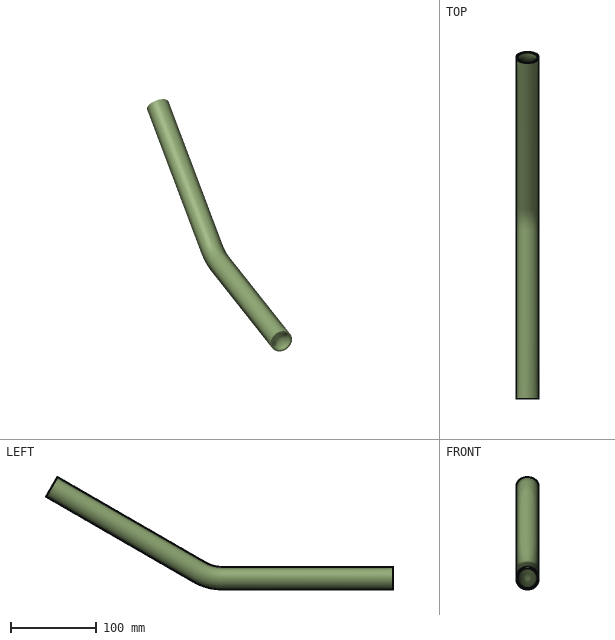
import cadquery as cq
import math

outer_diameter = 27.0
wall_thickness = 2.0
inner_diameter = outer_diameter - 2 * wall_thickness

overall_length = 407
bend_radius = 54.0
bend_angle = 30

bend_and_end_length = (bend_radius + outer_diameter / 2) * math.sin(math.radians(bend_angle))
leg_length = (overall_length - bend_and_end_length) / (1 + math.cos(math.radians(bend_angle)))


def tube_section():
    """Ring-shaped tube section where the horizontal leg meets the bend, facing +Y."""
    bend_start = cq.Plane(origin=(0, leg_length, 0), xDir=(1, 0, 0), normal=(0, 1, 0))
    return cq.Workplane(bend_start).circle(outer_diameter / 2).circle(inner_diameter / 2)


bend_axis_start = (0, leg_length, bend_radius)
bend_axis_end = (1, leg_length, bend_radius)

horizontal_leg = tube_section().extrude(-leg_length)

bend = tube_section().revolve(bend_angle, (0, -bend_radius), (1, -bend_radius))

sloping_leg = tube_section().extrude(leg_length).rotate(bend_axis_start, bend_axis_end, bend_angle)

result = horizontal_leg.union(bend).union(sloping_leg)